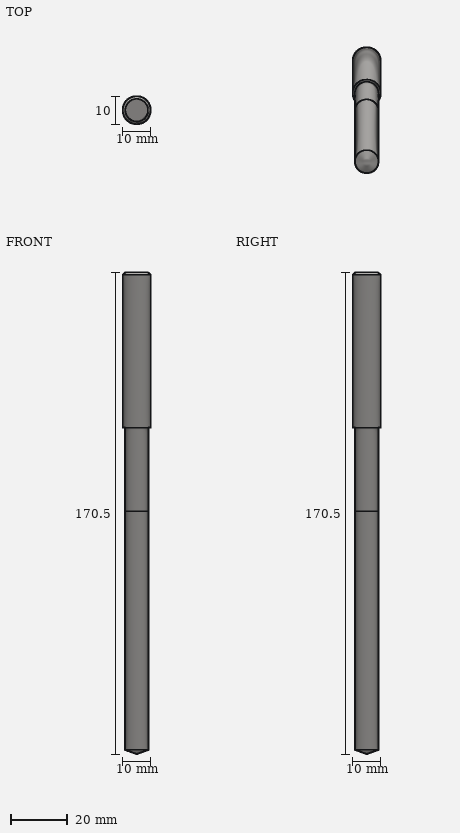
import cadquery as cq
import math

shank_diameter = 10.0
cutting_diameter = 8.4
point_angle = 140.0
body_length = 169.0
shank_length = 55.0
cutting_length = 84.5
chamfer_size = 1.0

shank_radius = shank_diameter / 2
cutting_radius = cutting_diameter / 2
neck_radius = cutting_radius
shoulder_z = body_length - shank_length
point_height = cutting_radius / math.tan(math.radians(point_angle / 2))


def revolve_about_z(profile):
    """Turn a closed (radius, Z) outline once around the Z axis."""
    return cq.Workplane("XZ").polyline(profile).close().revolve(360, (0, 0), (0, 1))


def make_shank():
    """Chamfered gripping shank with the slimmer neck below it."""
    return revolve_about_z([
        (0, cutting_length),
        (neck_radius, cutting_length),
        (neck_radius, shoulder_z),
        (shank_radius, shoulder_z),
        (shank_radius, body_length - chamfer_size),
        (shank_radius - chamfer_size, body_length),
        (0, body_length),
    ])


def make_cutting_part():
    """Plain cylinder ending in a conical drill point."""
    return revolve_about_z([
        (0, -point_height),
        (cutting_radius, 0),
        (cutting_radius, cutting_length),
        (0, cutting_length),
    ])


shank = make_shank()
cutting_part = make_cutting_part()

result = cq.Compound.makeCompound([shank.val(), cutting_part.val()])